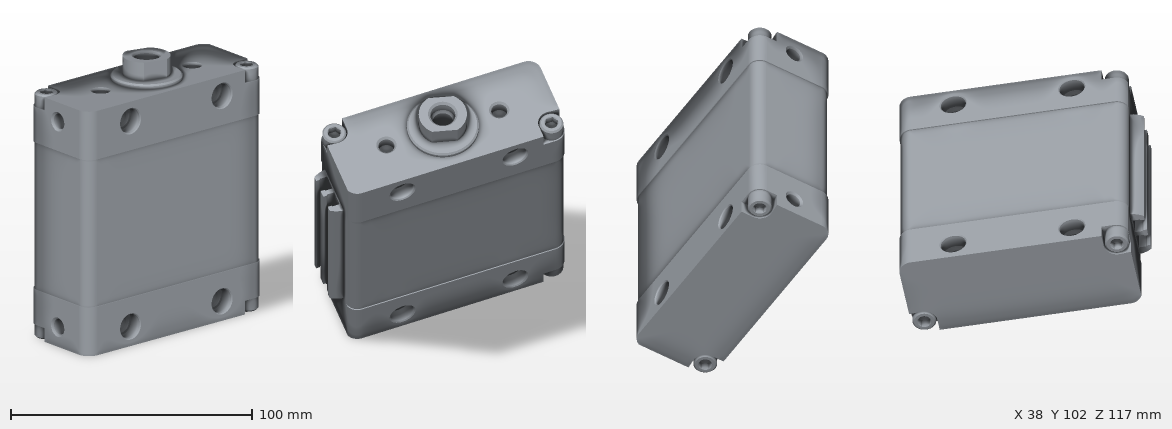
import cadquery as cq
import math

TOTAL_HEIGHT = 117.0
CAP_WIDTH = 38.0
CAP_DEPTH = 97.0
CORNER_RADIUS = 5.5
CAP_HEIGHT = 21.3
BODY_HEIGHT = 107.0
BARREL_INSET = 0.5

COLLAR_DIAMETER = 30.0
COLLAR_HEIGHT = 2.0
COLLAR_CHAMFER = 0.7

ROD_DIAMETER = 20.0
ROD_ACROSS_FLATS = 17.0
ROD_FLAT_ANGLE = -15.0
ROD_MOUTH_DIAMETER = 12.3
ROD_COUNTERBORE_DIAMETER = 10.4
ROD_COUNTERBORE_DEPTH = 4.7
ROD_THREAD_DIAMETER = 8.4
ROD_THREAD_DEPTH = 11.7

HEAD_DIAMETER = 10.0
HEAD_CHAMFER = 0.7
HEAD_HEIGHT = 6.0
SOCKET_ACROSS_FLATS = 5.0
SOCKET_MOUTH_DIAMETER = 5.8
SOCKET_DEPTH = 3.5
RECESS_DIAMETER = 11.0
RECESS_TAPER = 5.0

DRILL_POINT_ANGLE = 118.0
HOLE_SPACING = 50.0
SIDE_HOLE_INSET = 8.5
THREAD_DIAMETER = 6.7
THREAD_MOUTH_DIAMETER = 8.4
END_HOLE_DEPTH = 4.9
PORT_DEPTH = 9.4
COUNTERBORE_DIAMETER = 10.5
COUNTERBORE_MOUTH_DIAMETER = 11.5
COUNTERBORE_DEPTH = 6.0

RAIL_TOP = 53.53
RIB_HEAD_HEIGHT = 1.5
RIB_HEAD_SLOPE = 0.5
MIDDLE_RIB_HEAD_WIDTH = 3.0
MIDDLE_RIB_WIDTH = 2.1
SIDE_RIB_HEAD_X = 6.9
SIDE_RIB_INNER_X = 7.4
SIDE_RIB_TIP_X = 9.0
SIDE_RIB_ROOT_X = 11.0
SIDE_RIB_BULGE = 0.4
SLOT_FLOOR_RISE = 0.5

BARREL_HEIGHT = BODY_HEIGHT - 2 * CAP_HEIGHT
BARREL_TOP = CAP_HEIGHT + BARREL_HEIGHT
COLLAR_TOP = BODY_HEIGHT + COLLAR_HEIGHT
RAIL_FACE = CAP_DEPTH / 2 - BARREL_INSET
SCREW_X = CAP_WIDTH / 2 - CORNER_RADIUS
SCREW_Y = CAP_DEPTH / 2 - CORNER_RADIUS


def countersunk_hole(diameter, mouth_diameter, depth):
    """Flat-bottomed hole cutter going down from Z = 0, with a 45 degree mouth."""
    mouth_depth = (mouth_diameter - diameter) / 2
    hole = cq.Workplane("XY").circle(diameter / 2).extrude(-depth)
    mouth = cq.Workplane("XY").add(
        cq.Solid.makeCone(diameter / 2, mouth_diameter / 2, mouth_depth, cq.Vector(0, 0, -mouth_depth))
    )
    return hole.union(mouth)


def drilled_hole(diameter, mouth_diameter, depth):
    """Hole cutter as above, with a drill point at its bottom end."""
    point_height = diameter / 2 / math.tan(math.radians(DRILL_POINT_ANGLE / 2))
    point = cq.Solid.makeCone(0, diameter / 2, point_height, cq.Vector(0, 0, -depth - point_height))
    return countersunk_hole(diameter, mouth_diameter, depth).union(cq.Workplane("XY").add(point))


def rounded_block(inset, height):
    """Upright block of the cap outline, drawn in by the inset on all sides."""
    block = cq.Workplane("XY").rect(CAP_WIDTH - 2 * inset, CAP_DEPTH - 2 * inset).extrude(height)
    return block.edges("|Z").fillet(CORNER_RADIUS - inset)


def cap_block():
    """Cap outline with the rail side cut flat, level with the barrel."""
    keep = cq.Workplane("XY").box(CAP_WIDTH, 2 * RAIL_FACE, CAP_HEIGHT, centered=(True, True, False))
    keep = keep.union(keep.translate((0, -BARREL_INSET, 0)))
    return rounded_block(0, CAP_HEIGHT).intersect(keep)


def screw_recess():
    """Corner recess around a screw head at the -X -Y corner, open to both outer sides."""
    radius = RECESS_DIAMETER / 2
    reach = 2 * CORNER_RADIUS
    lean = math.radians(RECESS_TAPER)
    tangent_x = radius * math.cos(lean)
    tangent_y = -radius * math.sin(lean)
    middle = math.radians(45 - RECESS_TAPER / 2)
    outer_x = tangent_x - (reach + tangent_y) * math.tan(lean)
    return (
        cq.Workplane("XY")
        .moveTo(-reach, radius)
        .lineTo(0, radius)
        .threePointArc((radius * math.cos(middle), radius * math.sin(middle)), (tangent_x, tangent_y))
        .lineTo(outer_x, -reach)
        .lineTo(-reach, -reach)
        .close()
        .extrude(-HEAD_HEIGHT)
    )


def screw_head():
    """Chamfered cap-screw head hanging down from Z = 0, with a hex socket, two flats facing along X."""
    head = cq.Workplane("XY").circle(HEAD_DIAMETER / 2).extrude(-HEAD_HEIGHT)
    head = head.faces(">Z").chamfer(HEAD_CHAMFER)
    across_corners = SOCKET_ACROSS_FLATS / math.cos(math.radians(30))
    hexagon = cq.Workplane("XY").polygon(6, across_corners).extrude(-SOCKET_DEPTH)
    head = head.cut(hexagon.rotate((0, 0, 0), (0, 0, 1), 30))
    return head.cut(drilled_hole(SOCKET_ACROSS_FLATS, SOCKET_MOUTH_DIAMETER, SOCKET_DEPTH))


def add_screws(cap):
    """Recesses and screw heads at two opposite corners of the top face."""
    for turn in (0, 180):
        recess = screw_recess().translate((-SCREW_X, -SCREW_Y, CAP_HEIGHT))
        head = screw_head().translate((-SCREW_X, -SCREW_Y, CAP_HEIGHT))
        cap = cap.cut(recess.rotate((0, 0, 0), (0, 0, 1), turn))
        cap = cap.union(head.rotate((0, 0, 0), (0, 0, 1), turn))
    return cap


def add_side_holes(cap):
    """Threaded through holes along X, counterbored from both sides."""
    hole_z = CAP_HEIGHT - SIDE_HOLE_INSET
    counterbore = countersunk_hole(COUNTERBORE_DIAMETER, COUNTERBORE_MOUTH_DIAMETER, COUNTERBORE_DEPTH)
    thread = countersunk_hole(THREAD_DIAMETER, THREAD_MOUTH_DIAMETER, CAP_WIDTH / 2 - COUNTERBORE_DEPTH)
    half = counterbore.union(thread.translate((0, 0, -COUNTERBORE_DEPTH)))
    for side in (-1, 1):
        cutter = half.rotate((0, 0, 0), (0, 1, 0), side * 90)
        for y in (-HOLE_SPACING / 2, HOLE_SPACING / 2):
            cap = cap.cut(cutter.translate((side * CAP_WIDTH / 2, y, hole_z)))
    return cap


def add_port(cap):
    """Blind threaded port in the -Y side."""
    port = countersunk_hole(THREAD_DIAMETER, THREAD_MOUTH_DIAMETER, PORT_DEPTH)
    port = port.rotate((0, 0, 0), (1, 0, 0), 90)
    return cap.cut(port.translate((0, -CAP_DEPTH / 2, CAP_HEIGHT - SIDE_HOLE_INSET)))


def make_cap():
    """Features shared by both caps, with the outer end face on top."""
    return add_port(add_side_holes(add_screws(cap_block())))


def make_front_cap():
    """Upper cap with the rod collar, rod bore and two threaded end holes."""
    cap = make_cap()
    collar = cq.Workplane("XY").circle(COLLAR_DIAMETER / 2).extrude(COLLAR_HEIGHT)
    collar = collar.faces(">Z").chamfer(COLLAR_CHAMFER)
    cap = cap.union(collar.translate((0, 0, CAP_HEIGHT)))
    cap = cap.cut(cq.Workplane("XY").circle(ROD_DIAMETER / 2).extrude(CAP_HEIGHT + COLLAR_HEIGHT))
    end_hole = countersunk_hole(THREAD_DIAMETER, THREAD_MOUTH_DIAMETER, END_HOLE_DEPTH)
    for y in (-HOLE_SPACING / 2, HOLE_SPACING / 2):
        cap = cap.cut(end_hole.translate((0, y, CAP_HEIGHT)))
    return cap.translate((0, 0, BARREL_TOP))


def make_rear_cap():
    """Lower cap: the shared cap turned over, with its end face down."""
    return make_cap().mirror("XY").translate((0, 0, CAP_HEIGHT))


def middle_rib():
    """T-shaped rib between the two sensor slots."""
    slope_top = RAIL_TOP - RIB_HEAD_HEIGHT
    return (
        cq.Workplane("XY")
        .moveTo(0, RAIL_FACE)
        .lineTo(MIDDLE_RIB_WIDTH / 2, RAIL_FACE)
        .lineTo(MIDDLE_RIB_WIDTH / 2, slope_top - RIB_HEAD_SLOPE)
        .lineTo(MIDDLE_RIB_HEAD_WIDTH / 2, slope_top)
        .lineTo(MIDDLE_RIB_HEAD_WIDTH / 2, RAIL_TOP)
        .lineTo(0, RAIL_TOP)
        .close()
        .extrude(BARREL_HEIGHT)
    )


def side_rib():
    """Rib on the +X side of the slots, with a bulging outer face and a hooked head."""
    slope_top = RAIL_TOP - RIB_HEAD_HEIGHT
    return (
        cq.Workplane("XY")
        .moveTo(SIDE_RIB_INNER_X, RAIL_FACE)
        .lineTo(SIDE_RIB_INNER_X, slope_top - RIB_HEAD_SLOPE)
        .lineTo(SIDE_RIB_HEAD_X, slope_top)
        .lineTo(SIDE_RIB_HEAD_X, RAIL_TOP)
        .lineTo(SIDE_RIB_TIP_X, RAIL_TOP)
        .sagittaArc((SIDE_RIB_ROOT_X, RAIL_FACE), SIDE_RIB_BULGE)
        .close()
        .extrude(BARREL_HEIGHT)
    )


def make_barrel():
    """Barrel between the caps, with the sensor rail on its +Y side."""
    barrel = rounded_block(BARREL_INSET, BARREL_HEIGHT)
    slot_floor = cq.Workplane("XY").rect(2 * SIDE_RIB_INNER_X, 2 * SLOT_FLOOR_RISE).extrude(BARREL_HEIGHT)
    barrel = barrel.union(slot_floor.translate((0, RAIL_FACE, 0)))
    for rib in (middle_rib(), side_rib()):
        barrel = barrel.union(rib).union(rib.mirror("YZ"))
    return barrel.translate((0, 0, CAP_HEIGHT))


def make_rod():
    """Piston rod standing on the barrel, with two wrench flats and a threaded bore."""
    rod = cq.Workplane("XY").workplane(offset=BARREL_TOP).circle(ROD_DIAMETER / 2)
    rod = rod.extrude(COLLAR_TOP - BARREL_TOP)
    flat_length = TOTAL_HEIGHT - COLLAR_TOP
    tip = cq.Workplane("XY").workplane(offset=COLLAR_TOP).circle(ROD_DIAMETER / 2).extrude(flat_length)
    flats = cq.Workplane("XY").box(ROD_ACROSS_FLATS, ROD_DIAMETER, flat_length, centered=(True, True, False))
    flats = flats.rotate((0, 0, 0), (0, 0, 1), ROD_FLAT_ANGLE).translate((0, 0, COLLAR_TOP))
    rod = rod.union(tip.intersect(flats))
    counterbore = countersunk_hole(ROD_COUNTERBORE_DIAMETER, ROD_MOUTH_DIAMETER, ROD_COUNTERBORE_DEPTH)
    thread = drilled_hole(ROD_THREAD_DIAMETER, ROD_COUNTERBORE_DIAMETER, ROD_THREAD_DEPTH)
    rod = rod.cut(counterbore.translate((0, 0, TOTAL_HEIGHT)))
    return rod.cut(thread.translate((0, 0, TOTAL_HEIGHT - ROD_COUNTERBORE_DEPTH)))


front_cap = make_front_cap().solids()
rear_cap = make_rear_cap().solids()
barrel = make_barrel().solids()
rod = make_rod().solids()

result = cq.Compound.makeCompound([front_cap.val(), rear_cap.val(), barrel.val(), rod.val()])